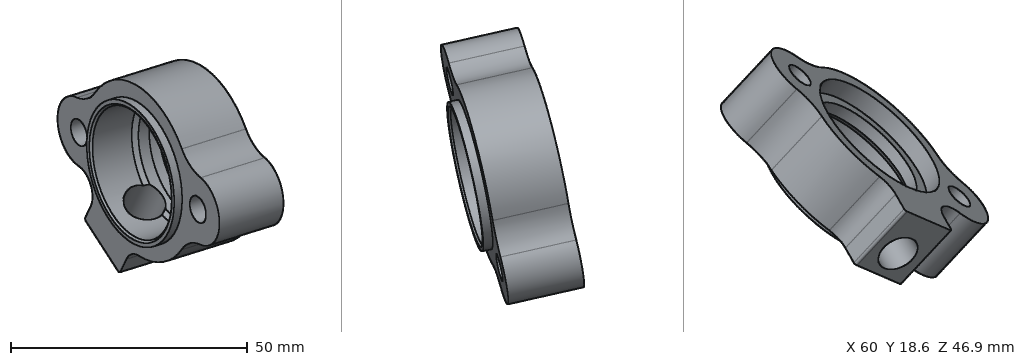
import cadquery as cq
import math

body_depth = 16.5
main_radius = 19.95
lug_radius = 8.0
overall_width = 59.95
lug_offset = overall_width / 2 - lug_radius
lug_hole_diameter = 6.0
lug_blend_radius = 10.0

tab_direction = math.radians(240)
tab_reach = 27.0
tab_half_width = 7.5
tab_blend_radius = 5.15
tab_corner_radius = 0.6
tab_hole_diameter = 9.0
tab_hole_y = body_depth - 10.0

spigot_radius = 16.2
spigot_height = 2.05
bore_radius = 14.75
back_bore_radius = 16.5
mouth_chamfer = 0.5
lip_radius = 13.7
lip_start = 8.5
lip_length = 2.75
lip_slope_length = bore_radius - lip_radius


def outer_tangent_center(first, first_radius, second, second_radius, blend_radius, side):
    """Center of a concave arc touching two circles, on the given side of first -> second."""
    span_x = second[0] - first[0]
    span_z = second[1] - first[1]
    span = math.hypot(span_x, span_z)
    to_first = first_radius + blend_radius
    to_second = second_radius + blend_radius
    along = (span**2 + to_first**2 - to_second**2) / (2 * span)
    across = side * math.sqrt(to_first**2 - along**2)
    return (
        first[0] + (along * span_x - across * span_z) / span,
        first[1] + (along * span_z + across * span_x) / span,
    )


def step_toward(start, target, distance):
    """Point at a distance from start on the ray toward target."""
    span = math.dist(start, target)
    return tuple(s + (t - s) * distance / span for s, t in zip(start, target))


def arc_middle(arc_center, start, end, radius):
    """Middle point of the shorter arc from start to end."""
    chord_middle = ((start[0] + end[0]) / 2, (start[1] + end[1]) / 2)
    return step_toward(arc_center, chord_middle, radius)


def tab_point(along, across):
    """Point in X, Z from its radial and sideways position on the tab."""
    cosine = math.cos(tab_direction)
    sine = math.sin(tab_direction)
    return (along * cosine - across * sine, along * sine + across * cosine)


def make_body():
    """Flange with two lugs and a tab, blended by tangent arcs."""
    center = (0, 0)
    left_lug = (-lug_offset, 0)
    right_lug = (lug_offset, 0)

    upper_right = outer_tangent_center(
        center, main_radius, right_lug, lug_radius, lug_blend_radius, 1
    )
    upper_left = (-upper_right[0], upper_right[1])
    lower_right = (upper_right[0], -upper_right[1])

    blend_across = tab_half_width + tab_blend_radius
    right_along = math.sqrt((main_radius + tab_blend_radius) ** 2 - blend_across**2)
    right_blend = tab_point(right_along, blend_across)
    lug_along = left_lug[0] * math.cos(tab_direction)
    lug_across = -left_lug[0] * math.sin(tab_direction)
    side_gap = lug_across + blend_across
    left_along = lug_along + math.sqrt((lug_radius + tab_blend_radius) ** 2 - side_gap**2)
    left_blend = tab_point(left_along, -blend_across)

    main_upper_right = step_toward(center, upper_right, main_radius)
    main_upper_left = step_toward(center, upper_left, main_radius)
    main_lower_right = step_toward(center, lower_right, main_radius)
    main_tab = step_toward(center, right_blend, main_radius)
    right_upper = step_toward(right_lug, upper_right, lug_radius)
    right_lower = step_toward(right_lug, lower_right, lug_radius)
    left_upper = step_toward(left_lug, upper_left, lug_radius)
    left_lower = step_toward(left_lug, left_blend, lug_radius)
    tab_left_start = tab_point(left_along, -tab_half_width)
    tab_right_start = tab_point(right_along, tab_half_width)

    main_right_middle = arc_middle(center, main_lower_right, main_tab, main_radius)
    outline = (
        cq.Workplane("XZ", origin=(0, body_depth, 0))
        .moveTo(*main_upper_left)
        .threePointArc((0, main_radius), main_upper_right)
        .threePointArc(
            arc_middle(upper_right, main_upper_right, right_upper, lug_blend_radius), right_upper
        )
        .threePointArc((lug_offset + lug_radius, 0), right_lower)
        .threePointArc(
            arc_middle(lower_right, right_lower, main_lower_right, lug_blend_radius),
            main_lower_right,
        )
        .threePointArc(main_right_middle, main_tab)
        .threePointArc(
            arc_middle(right_blend, main_tab, tab_right_start, tab_blend_radius), tab_right_start
        )
        .lineTo(*tab_point(tab_reach, tab_half_width))
        .lineTo(*tab_point(tab_reach, -tab_half_width))
        .lineTo(*tab_left_start)
        .threePointArc(
            arc_middle(left_blend, tab_left_start, left_lower, tab_blend_radius), left_lower
        )
        .threePointArc((-lug_offset - lug_radius, 0), left_upper)
        .threePointArc(
            arc_middle(upper_left, left_upper, main_upper_left, lug_blend_radius), main_upper_left
        )
        .close()
    )
    body = outline.extrude(body_depth)
    for across in (-tab_half_width, tab_half_width):
        x, z = tab_point(tab_reach, across)
        corner = cq.selectors.NearestToPointSelector((x, body_depth / 2, z))
        body = body.edges(corner).fillet(tab_corner_radius)
    return body


def make_spigot():
    return cq.Workplane("XZ").circle(spigot_radius).extrude(spigot_height)


def make_bore():
    """Turned bore with a chamfered mouth, an inner lip and a wider back recess."""
    mouth = -spigot_height
    slope_end = lip_start + lip_slope_length
    lip_end = slope_end + lip_length
    profile = [
        (0, mouth),
        (bore_radius + mouth_chamfer, mouth),
        (bore_radius, mouth + mouth_chamfer),
        (bore_radius, lip_start),
        (lip_radius, slope_end),
        (lip_radius, lip_end),
        (back_bore_radius, lip_end),
        (back_bore_radius, body_depth),
        (0, body_depth),
    ]
    return cq.Workplane("XY").polyline(profile).close().revolve(360, (0, 0, 0), (0, 1, 0))


def make_lug_holes():
    return (
        cq.Workplane("XZ", origin=(0, body_depth, 0))
        .pushPoints([(-lug_offset, 0), (lug_offset, 0)])
        .circle(lug_hole_diameter / 2)
        .extrude(body_depth)
    )


def make_tab_hole():
    """Radial hole from the tab end into the bore."""
    outward = cq.Vector(math.cos(tab_direction), 0, math.sin(tab_direction))
    start = cq.Vector(0, tab_hole_y, 0)
    return cq.Workplane(cq.Solid.makeCylinder(tab_hole_diameter / 2, tab_reach, start, outward))


result = (
    make_body()
    .union(make_spigot())
    .cut(make_bore())
    .cut(make_lug_holes())
    .cut(make_tab_hole())
)